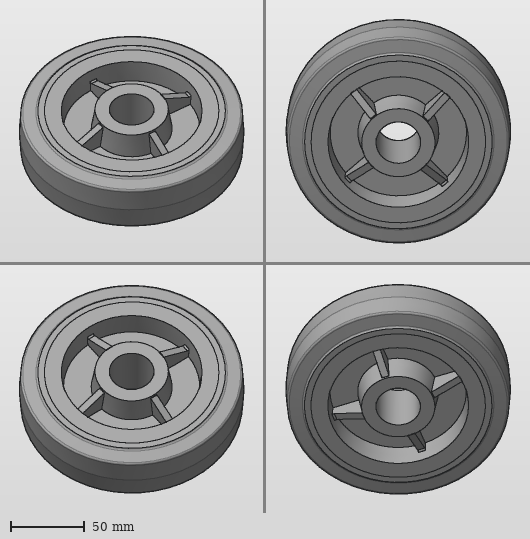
import cadquery as cq
import math

wheel_radius = 76.2
overall_width = 41.3
half_width = overall_width / 2

bore_radius = 15.1
hub_top_radius = 24.8
hub_base_radius = 27.5
web_half_thickness = 2.6
pocket_floor_radius = 46.2
pocket_mouth_radius = 47.7
ring_half_width = 19.4
rim_outer_radius = 59.1

rib_count = 4
rib_thickness = 5.2
rib_inner_height = 19.2
rib_outer_height = 9.8
rib_inner_radius = 25.1
rib_flare_radius = 45.3
rib_flare_rise = 0.9

lip_radius = 63.5
lip_fillet = 1.4
side_outer_height = 17.0
shoulder_round = 1.4
tread_edge_radius = 75.3


def revolve_profile(profile):
    """Revolve a closed radius-height profile about the wheel axis."""
    return profile.close().revolve(360, (0, 0, 0), (0, 1, 0))


def make_rib():
    """One rib along +X, reaching both pockets through the web."""
    inside_hub = (bore_radius + hub_top_radius) / 2
    inside_ring = (pocket_mouth_radius + rim_outer_radius) / 2
    flare_height = rib_outer_height + rib_flare_rise
    top_points = [
        (inside_hub, rib_inner_height),
        (rib_inner_radius, rib_inner_height),
        (rib_flare_radius, rib_outer_height),
        (pocket_mouth_radius, flare_height),
        (inside_ring, flare_height),
    ]
    bottom_points = [(x, -z) for x, z in reversed(top_points)]
    return (
        cq.Workplane("XZ")
        .polyline(top_points + bottom_points)
        .close()
        .extrude(rib_thickness / 2, both=True)
    )


def make_rim():
    """Hub, web and ring as one revolved body, joined by the ribs."""
    profile = (
        cq.Workplane("XZ")
        .moveTo(bore_radius, -half_width)
        .lineTo(hub_top_radius, -half_width)
        .lineTo(hub_base_radius, -web_half_thickness)
        .lineTo(pocket_floor_radius, -web_half_thickness)
        .lineTo(pocket_mouth_radius, -ring_half_width)
        .lineTo(rim_outer_radius, -ring_half_width)
        .lineTo(rim_outer_radius, ring_half_width)
        .lineTo(pocket_mouth_radius, ring_half_width)
        .lineTo(pocket_floor_radius, web_half_thickness)
        .lineTo(hub_base_radius, web_half_thickness)
        .lineTo(hub_top_radius, half_width)
        .lineTo(bore_radius, half_width)
    )
    body = revolve_profile(profile)
    rib = make_rib()
    for index in range(rib_count):
        body = body.union(rib.rotate((0, 0, 0), (0, 0, 1), index * 360 / rib_count))
    return body


def make_tire():
    """Tire around the rim, with a double-cone tread, tapered sides and a filleted lip."""
    lip_foot_radius = lip_radius + lip_fillet
    lip_foot_height = ring_half_width - lip_fillet
    side_outer_radius = tread_edge_radius - shoulder_round
    tread_edge_height = side_outer_height - shoulder_round
    arc_middle = math.sqrt(0.5)
    fillet_middle_radius = lip_foot_radius - lip_fillet * arc_middle
    fillet_middle_height = ring_half_width - lip_fillet * arc_middle
    shoulder_middle_radius = side_outer_radius + shoulder_round * arc_middle
    shoulder_middle_height = tread_edge_height + shoulder_round * arc_middle

    profile = (
        cq.Workplane("XZ")
        .moveTo(rim_outer_radius, -ring_half_width)
        .lineTo(rim_outer_radius, ring_half_width)
        .lineTo(lip_radius, ring_half_width)
        .threePointArc((fillet_middle_radius, fillet_middle_height), (lip_foot_radius, lip_foot_height))
        .lineTo(side_outer_radius, side_outer_height)
        .threePointArc(
            (shoulder_middle_radius, shoulder_middle_height), (tread_edge_radius, tread_edge_height)
        )
        .lineTo(wheel_radius, 0)
        .lineTo(tread_edge_radius, -tread_edge_height)
        .threePointArc(
            (shoulder_middle_radius, -shoulder_middle_height), (side_outer_radius, -side_outer_height)
        )
        .lineTo(lip_foot_radius, -lip_foot_height)
        .threePointArc((fillet_middle_radius, -fillet_middle_height), (lip_radius, -ring_half_width))
    )
    return revolve_profile(profile)


rim = make_rim()
tire = make_tire()
result = cq.Compound.makeCompound([*rim.solids().vals(), *tire.solids().vals()])